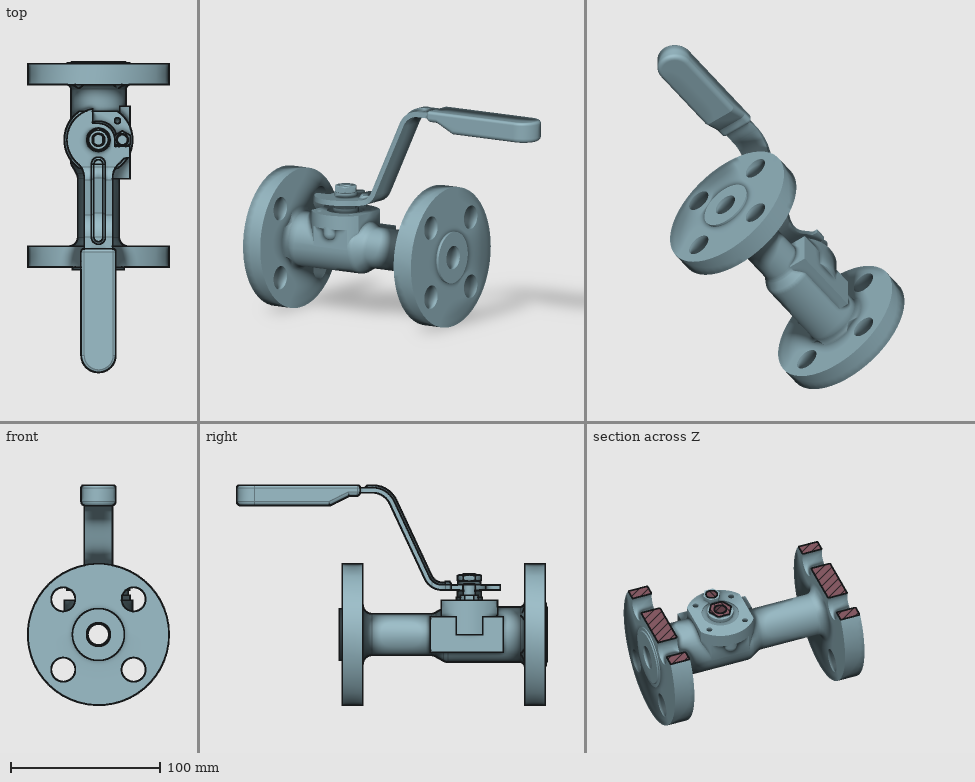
import cadquery as cq
import math


face_to_face = 139.67
rear_face_y = 52.4
front_face_y = rear_face_y - face_to_face
flange_diameter = 95.0
flange_thickness = 14.0
bolt_circle_diameter = 66.7
bolt_hole_diameter = 16.0
bolt_clearance_radius = 14.75
bolt_clearance_depth = 3.5

front_raised_diameter = 34.9
front_raised_height = 1.9
rear_raised_diameter = 41.7
rear_raised_height = 0.65
rear_flange_y = 51.1
rear_flange_back_y = rear_flange_y - flange_thickness
front_flange_y = front_face_y + front_raised_height
front_flange_back_y = front_flange_y + flange_thickness

ball_pipe_radius = 37.15 / 2
front_pipe_radius = 28.0 / 2
rear_hub_fillet = 3.0
front_hub_fillet = 6.0
bore_diameter = 14.1
port_diameter = 16.0

cone_start_y = -14.4
cone_angle = math.radians(30)
cone_blend_radius = 6.3

collar_radius = 23.0
collar_half_length = 19.0
collar_top_z = 23.1
collar_recess_diameter = 25.09
collar_recess_depth = 1.0
side_flat_x = -ball_pipe_radius
side_flat_top_z = 13.7
side_boss_radius = 8.8 / 2
side_boss_hole_diameter = 9.41
side_boss_center_z = 9.9
side_boss_top_z = 14.8
screw_hole_diameter = 4.0
screw_hole_circle_radius = 18.1
screw_hole_depth = 6.0

pad_inner_x = 9.0
pad_outer_x = 21.2
pad_rear_y = 22.6
pad_front_y = -26.2
pad_half_height = 12.0

insert_diameter = 37.15
insert_face_diameter = 35.85
insert_length = 11.0

lever_thickness = 3.5
lever_bottom_z = 29.75
lever_top_z = lever_bottom_z + lever_thickness
lever_disc_radius = 21.15
neck_width = 19.2
neck_fillet = 12.0
stop_notch_radius = 11.0
stop_lug_gap = 0.5
stop_lug_y = -12.2
stop_lug_fillet = 2.5
bend_angle = math.radians(65)
lower_bend_radius = 11.5
upper_bend_radius = 14.3
lower_bend_y = -18.0
handle_rise = 65.3
tongue_end_y = -140.0
rib_width = 9.4
rib_height = 1.7
rib_start_y = -11.6
rib_start_height = 2.4

grip_width = 23.4
grip_front_y = -156.17
grip_rear_y = -73.1
grip_top_z = 100.31
grip_shallow_z = 92.8
grip_deep_z = 86.4
grip_ramp_start_y = -80.7
grip_ramp_end_y = -93.6
grip_top_fillet = 2.0
grip_rear_fillet = 2.0
grip_bottom_fillet = 3.0

stem_diameter = 8.6
stem_flat_width = 7.0
stem_bottom_z = 10.0
stem_top_z = 40.8
stem_chamfer = 0.5
nut_across_flats = 14.0
gland_flange_diameter = 17.45
gland_flange_top_z = 25.1
washer_diameter = 15.6
washer_top_z = 35.6
nut_top_z = 40.2
nut_chamfer = 1.5

stop_x = 16.05
stop_pin_diameter = 7.92
stop_pin_top_z = 34.0
stop_pin_chamfer = 0.5
stop_hex_across_flats = 10.3
stop_hex_top_z = 26.4
stop_shank_depth = 8.0


def y_cylinder(diameter, start_y, end_y, x=0.0, z=0.0):
    """Cylinder parallel to the pipe axis between two Y positions."""
    length = abs(end_y - start_y)
    base = cq.Workplane("XZ", origin=(x, max(start_y, end_y), z))
    return base.circle(diameter / 2).extrude(length)


def z_cylinder(diameter, bottom_z, top_z, x=0.0, y=0.0):
    """Vertical cylinder between two heights."""
    base = cq.Workplane("XY", origin=(x, y, bottom_z))
    return base.circle(diameter / 2).extrude(top_z - bottom_z)


def hexagon(across_flats, bottom_z, top_z, x=0.0):
    """Vertical hexagonal prism with two corners on the Y direction."""
    corner_diameter = across_flats / math.cos(math.pi / 6)
    prism = cq.Workplane("XY").polygon(6, corner_diameter).extrude(top_z - bottom_z)
    return prism.rotate((0, 0, 0), (0, 0, 1), 30).translate((x, 0, bottom_z))


def corner_cone(across_flats, bottom_z, top_z, chamfer_top=True, chamfer_bottom=True):
    """Round blank whose chamfered ends take the corners off a hexagonal nut."""
    corner_diameter = across_flats / math.cos(math.pi / 6)
    blank = z_cylinder(corner_diameter, bottom_z, top_z)
    drop = nut_chamfer * math.tan(math.pi / 6)
    if chamfer_top:
        blank = blank.faces(">Z").chamfer(drop, nut_chamfer)
    if chamfer_bottom:
        blank = blank.faces("<Z").chamfer(drop, nut_chamfer)
    return blank


def flatted_stem(diameter, bottom_z, top_z):
    """Round bar with two flats that face along X."""
    flats = cq.Workplane("XY", origin=(0, 0, bottom_z)).rect(stem_flat_width, diameter)
    return z_cylinder(diameter, bottom_z, top_z).intersect(flats.extrude(top_z - bottom_z))


bolt_offset = bolt_circle_diameter / 2 / math.sqrt(2)
bolt_positions = [(sx * bolt_offset, sz * bolt_offset) for sx in (-1, 1) for sz in (-1, 1)]


def make_pipe():
    """Turned pipe with both flanges, the hub fillets and the blended cone."""
    blend_length = cone_blend_radius * math.sin(cone_angle)
    blend_drop = cone_blend_radius * (1 - math.cos(cone_angle))
    half_length = cone_blend_radius * math.sin(cone_angle / 2)
    half_drop = cone_blend_radius * (1 - math.cos(cone_angle / 2))
    cone_drop = ball_pipe_radius - front_pipe_radius - 2 * blend_drop
    cone_length = cone_drop / math.tan(cone_angle)
    cone_end_y = cone_start_y - 2 * blend_length - cone_length
    diagonal = 1 - math.sqrt(0.5)
    front_hub_y = front_flange_back_y + front_hub_fillet
    rear_hub_y = rear_flange_back_y - rear_hub_fillet
    profile = (
        cq.Workplane("XY")
        .moveTo(0, front_face_y)
        .lineTo(front_raised_diameter / 2, front_face_y)
        .lineTo(front_raised_diameter / 2, front_flange_y)
        .lineTo(flange_diameter / 2, front_flange_y)
        .lineTo(flange_diameter / 2, front_flange_back_y)
        .lineTo(front_pipe_radius + front_hub_fillet, front_flange_back_y)
        .threePointArc(
            (
                front_pipe_radius + diagonal * front_hub_fillet,
                front_flange_back_y + diagonal * front_hub_fillet,
            ),
            (front_pipe_radius, front_hub_y),
        )
        .lineTo(front_pipe_radius, cone_end_y)
        .threePointArc(
            (front_pipe_radius + half_drop, cone_end_y + half_length),
            (front_pipe_radius + blend_drop, cone_end_y + blend_length),
        )
        .lineTo(ball_pipe_radius - blend_drop, cone_start_y - blend_length)
        .threePointArc(
            (ball_pipe_radius - half_drop, cone_start_y - half_length),
            (ball_pipe_radius, cone_start_y),
        )
        .lineTo(ball_pipe_radius, rear_hub_y)
        .threePointArc(
            (
                ball_pipe_radius + diagonal * rear_hub_fillet,
                rear_flange_back_y - diagonal * rear_hub_fillet,
            ),
            (ball_pipe_radius + rear_hub_fillet, rear_flange_back_y),
        )
        .lineTo(flange_diameter / 2, rear_flange_back_y)
        .lineTo(flange_diameter / 2, rear_flange_y)
        .lineTo(rear_raised_diameter / 2, rear_flange_y)
        .lineTo(rear_raised_diameter / 2, rear_flange_y + rear_raised_height)
        .lineTo(0, rear_flange_y + rear_raised_height)
        .close()
    )
    pipe = profile.revolve(360, (0, 0, 0), (0, 1, 0))
    for x, z in bolt_positions:
        pipe = pipe.cut(y_cylinder(bolt_hole_diameter, front_flange_y, front_flange_back_y, x, z))
        pipe = pipe.cut(y_cylinder(bolt_hole_diameter, rear_flange_back_y, rear_flange_y, x, z))
        clearance_end_y = rear_flange_back_y - bolt_clearance_depth
        pipe = pipe.cut(
            y_cylinder(2 * bolt_clearance_radius, clearance_end_y, rear_flange_back_y, x, z)
        )
    return pipe


def make_collar():
    """Stem collar with front and rear flats and a flat-faced pocket on the -X side.

    A shallow round hole in the pocket's ceiling clears the side boss.
    """
    collar = z_cylinder(2 * collar_radius, 0, collar_top_z)
    length_limit = cq.Workplane("XY").rect(2 * collar_radius, 2 * collar_half_length)
    collar = collar.intersect(length_limit.extrude(collar_top_z))
    pocket = cq.Workplane("XY").box(
        collar_radius, 2 * collar_radius, side_flat_top_z, centered=(False, True, False)
    )
    collar = collar.cut(pocket.translate((side_flat_x - collar_radius, 0, 0)))
    return collar.cut(
        z_cylinder(side_boss_hole_diameter, side_flat_top_z, side_boss_top_z, side_flat_x)
    )


def make_side_boss():
    """Upright round boss with a ball end, half sunk in the side flat."""
    boss = z_cylinder(2 * side_boss_radius, side_boss_center_z, side_boss_top_z, side_flat_x)
    ball = cq.Workplane("XY").sphere(side_boss_radius)
    return boss.union(ball.translate((side_flat_x, 0, side_boss_center_z)))


def make_pad():
    """Rectangular mounting pad on the +X side."""
    return cq.Workplane("XY").box(
        pad_outer_x - pad_inner_x, pad_rear_y - pad_front_y, 2 * pad_half_height,
        centered=False,
    ).translate((pad_inner_x, pad_front_y, -pad_half_height))


def make_screw_hole(angle):
    """Blind drilled hole with a conical end, cut from the collar top."""
    x = screw_hole_circle_radius * math.cos(angle)
    y = screw_hole_circle_radius * math.sin(angle)
    radius = screw_hole_diameter / 2
    profile = (
        cq.Workplane("XZ")
        .moveTo(0, collar_top_z)
        .lineTo(radius, collar_top_z)
        .lineTo(radius, collar_top_z - screw_hole_depth)
        .lineTo(0, collar_top_z - screw_hole_depth - radius)
        .close()
    )
    return profile.revolve(360, (0, 0, 0), (0, 1, 0)).translate((x, y, 0))


def make_housing():
    housing = make_pipe().union(make_collar()).union(make_side_boss()).union(make_pad())
    housing = housing.cut(y_cylinder(bore_diameter, front_face_y, rear_face_y))
    housing = housing.cut(y_cylinder(port_diameter, front_face_y, front_flange_back_y))
    housing = housing.cut(y_cylinder(insert_diameter, rear_face_y - insert_length, rear_face_y))
    recess_floor_z = collar_top_z - collar_recess_depth
    housing = housing.cut(z_cylinder(collar_recess_diameter, recess_floor_z, collar_top_z))
    housing = housing.cut(z_cylinder(stem_diameter, stem_bottom_z, collar_top_z))
    housing = housing.cut(
        z_cylinder(stop_pin_diameter, collar_top_z - stop_shank_depth, collar_top_z, stop_x)
    )
    for quarter in range(4):
        housing = housing.cut(make_screw_hole(math.pi / 4 + quarter * math.pi / 2))
    return housing


def make_insert():
    """Ring screwed into the rear flange, with a chamfered sealing face."""
    chamfer = (insert_diameter - insert_face_diameter) / 2
    ring = y_cylinder(insert_diameter, rear_face_y - insert_length, rear_face_y)
    ring = ring.faces(">Y").chamfer(chamfer)
    return ring.cut(y_cylinder(port_diameter, rear_face_y - insert_length, rear_face_y))


def make_stem():
    """Round stem with two flats from the lever upward."""
    lower = z_cylinder(stem_diameter, stem_bottom_z, lever_bottom_z)
    upper = flatted_stem(stem_diameter, lever_bottom_z, stem_top_z)
    return lower.union(upper).faces(">Z").chamfer(stem_chamfer)


def make_gland_nut():
    """Flanged hexagon nut that sits in the collar recess."""
    bottom_z = collar_top_z - collar_recess_depth
    flange = z_cylinder(gland_flange_diameter, bottom_z, gland_flange_top_z)
    head = hexagon(nut_across_flats, gland_flange_top_z, lever_bottom_z)
    head = head.intersect(
        corner_cone(nut_across_flats, gland_flange_top_z, lever_bottom_z, chamfer_bottom=False)
    )
    return flange.union(head).cut(z_cylinder(stem_diameter, bottom_z, lever_bottom_z))


def make_washer():
    washer = z_cylinder(washer_diameter, lever_top_z, washer_top_z)
    return washer.cut(z_cylinder(stem_diameter, lever_top_z, washer_top_z))


def make_lever_nut():
    nut = hexagon(nut_across_flats, washer_top_z, nut_top_z)
    nut = nut.intersect(corner_cone(nut_across_flats, washer_top_z, nut_top_z))
    return nut.cut(z_cylinder(stem_diameter, washer_top_z, nut_top_z))


def make_stop_screw():
    """Hexagon stop screw: shank in the collar, hexagon on it, round stop pin above."""
    shank_bottom_z = collar_top_z - stop_shank_depth
    pin = z_cylinder(stop_pin_diameter, shank_bottom_z, stop_pin_top_z, stop_x)
    pin = pin.faces(">Z").chamfer(stop_pin_chamfer)
    return pin.union(hexagon(stop_hex_across_flats, collar_top_z, stop_hex_top_z, stop_x))


lever_middle_z = lever_bottom_z + lever_thickness / 2
bent_rise = (lower_bend_radius + upper_bend_radius) * (1 - math.cos(bend_angle))
slope_run = (handle_rise - bent_rise) / math.tan(bend_angle)
bent_run = (lower_bend_radius + upper_bend_radius) * math.sin(bend_angle)
upper_bend_y = lower_bend_y - bent_run - slope_run


def lever_path(start_y, end_y, height):
    """Cranked line along the lever, at a height above its mid-plane."""
    low_radius = lower_bend_radius - height
    high_radius = upper_bend_radius + height
    low_center_z = lever_middle_z + lower_bend_radius
    high_center_z = lever_middle_z + handle_rise - upper_bend_radius

    def low_point(angle):
        return (
            lower_bend_y - low_radius * math.sin(angle),
            low_center_z - low_radius * math.cos(angle),
        )

    def high_point(angle):
        return (
            upper_bend_y + high_radius * math.sin(angle),
            high_center_z + high_radius * math.cos(angle),
        )

    return (
        cq.Workplane("YZ")
        .moveTo(start_y, lever_middle_z + height)
        .lineTo(*low_point(0))
        .threePointArc(low_point(bend_angle / 2), low_point(bend_angle))
        .lineTo(*high_point(bend_angle))
        .threePointArc(high_point(bend_angle / 2), high_point(0))
        .lineTo(end_y, high_center_z + high_radius)
    )


def make_lever_plan():
    """Upright block with the lever's plan outline: disc, stop lug, stop notch and neck."""
    height = handle_rise + 2 * lever_thickness
    stop_edge = stop_pin_diameter / 2
    lug_edge = stop_edge + stop_lug_gap
    disc = cq.Workplane("XY").circle(lever_disc_radius).extrude(height)
    lug = cq.Workplane("XY").box(
        lever_disc_radius, -stop_lug_y, height, centered=False
    ).translate((0, stop_lug_y, 0))
    neck = cq.Workplane("XY").box(
        neck_width, -tongue_end_y, height, centered=(True, False, False)
    ).translate((0, tongue_end_y, 0))
    plan = disc.union(lug).union(neck)

    neck_joint_y = -math.sqrt(lever_disc_radius ** 2 - (neck_width / 2) ** 2)
    lug_joint_x = math.sqrt(lever_disc_radius ** 2 - stop_lug_y ** 2)
    middle = height / 2
    for side in (-1, 1):
        joint = (side * neck_width / 2, neck_joint_y, middle)
        plan = plan.edges(cq.selectors.NearestToPointSelector(joint)).fillet(neck_fillet)
    lug_joint = (lug_joint_x, stop_lug_y, middle)
    plan = plan.edges(cq.selectors.NearestToPointSelector(lug_joint)).fillet(stop_lug_fillet)

    notch_side = 2 * lever_disc_radius
    notch = cq.Workplane("XY").box(notch_side, notch_side, height, centered=False)
    notch = notch.translate((-stop_edge, -lug_edge, 0))
    notch_core = cq.Workplane("XY").circle(stop_notch_radius).extrude(height)
    core_legs = (
        cq.Workplane("XY")
        .moveTo(-stop_edge, stop_notch_radius)
        .lineTo(0, stop_notch_radius)
        .threePointArc(
            (stop_notch_radius / math.sqrt(2), stop_notch_radius / math.sqrt(2)),
            (stop_notch_radius, 0),
        )
        .lineTo(stop_notch_radius, -lug_edge)
        .lineTo(-stop_edge, -lug_edge)
        .close()
        .extrude(height)
    )
    plan = plan.cut(notch.cut(notch_core).cut(core_legs))
    return plan.translate((0, 0, lever_bottom_z - lever_thickness / 2))


def make_rib_end(height, base_radius, top_radius):
    """Half of a cone frustum on the +Y side of its axis."""
    profile = cq.Workplane("XY").polyline(
        [(0, 0), (base_radius, 0), (top_radius, height), (0, height)]
    ).close()
    upright = profile.revolve(180, (0, 0, 0), (0, 1, 0)).rotate((0, 0, 0), (1, 0, 0), 90)
    if upright.val().Center().y < 0:
        upright = upright.rotate((0, 0, 0), (0, 0, 1), 180)
    return upright


def make_rib():
    """Stiffening rib with sloping sides and rounded ends on the lever's upper face."""
    surface = lever_thickness / 2
    half_base = rib_width / 2
    half_top = half_base - rib_height
    start_y = rib_start_y - half_base
    end_y = upper_bend_y - half_base / 10
    section = cq.Workplane("XZ", origin=(0, start_y, lever_middle_z + surface)).polyline(
        [(-half_base, 0), (half_base, 0), (half_top, rib_height), (-half_top, rib_height)]
    ).close()
    rib = section.sweep(lever_path(start_y, end_y, surface))
    start_end = make_rib_end(rib_start_height, half_base, half_top)
    far_end = make_rib_end(rib_height, half_base, half_top).rotate((0, 0, 0), (0, 0, 1), 180)
    rib = rib.union(start_end.translate((0, start_y, lever_top_z)))
    return rib.union(far_end.translate((0, end_y, lever_top_z + handle_rise)))


def make_lever():
    start_y = lever_disc_radius
    section = cq.Workplane("XZ", origin=(0, start_y, lever_middle_z)).rect(
        3 * lever_disc_radius, lever_thickness
    )
    lever = section.sweep(lever_path(start_y, tongue_end_y, 0)).intersect(make_lever_plan())
    lever = lever.union(make_rib())
    return lever.cut(flatted_stem(stem_diameter, lever_bottom_z, lever_top_z))


def make_grip(lever):
    """Moulded grip, deeper towards its round free end, with a slot for the lever's tongue."""
    profile = (
        cq.Workplane("YZ", origin=(-grip_width / 2, 0, 0))
        .moveTo(grip_rear_y, grip_top_z)
        .lineTo(grip_rear_y, grip_shallow_z)
        .lineTo(grip_ramp_start_y, grip_shallow_z)
        .lineTo(grip_ramp_end_y, grip_deep_z)
        .lineTo(grip_front_y, grip_deep_z)
        .lineTo(grip_front_y, grip_top_z)
        .close()
    )
    grip = profile.extrude(grip_width)
    end_center_y = grip_front_y + grip_width / 2
    end_cylinder = z_cylinder(grip_width, grip_deep_z, grip_top_z, 0, end_center_y)
    straight = cq.Workplane("XY").box(
        grip_width, grip_rear_y - end_center_y, grip_top_z, centered=(True, False, False)
    ).translate((0, end_center_y, 0))
    grip = grip.intersect(straight.union(end_cylinder))
    grip = grip.edges("|Z").edges(">Y").fillet(grip_rear_fillet)
    grip = grip.faces(">Z").edges().fillet(grip_top_fillet)
    lower_zone = cq.selectors.BoxSelector(
        (-grip_width, grip_front_y - grip_width, grip_deep_z - grip_bottom_fillet),
        (grip_width, grip_rear_y - grip_rear_fillet, grip_shallow_z + grip_bottom_fillet / 4),
    )
    grip = grip.edges(lower_zone).edges("not(|X)").fillet(grip_bottom_fillet)
    return grip.cut(lever)


housing = make_housing()
insert = make_insert()
stem = make_stem()
gland_nut = make_gland_nut()
lever = make_lever()
washer = make_washer()
lever_nut = make_lever_nut()
stop_screw = make_stop_screw()
grip = make_grip(lever)

result = cq.Compound.makeCompound([
    housing.val(),
    insert.val(),
    stem.val(),
    gland_nut.val(),
    lever.val(),
    washer.val(),
    lever_nut.val(),
    stop_screw.val(),
    grip.val(),
])